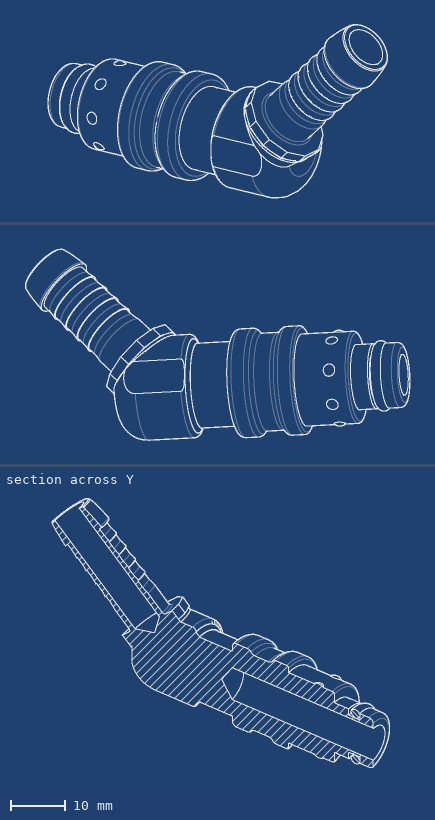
import cadquery as cq
import math

bore_dia = 7.5
drill_tip_angle = 118.0
plug_radius = 12.0 / 2
plug_edge = 0.9
groove_start = 3.0
groove_end = 5.4
groove_radius = 9.0 / 2
ring_section_dia = 2.0
sleeve_start = 8.6
sleeve_radius = 16.95 / 2
small_edge = 0.4
collar_start = 18.65
collar_radius = 20.0 / 2
collar_flat_end = 21.4
waist_start = 23.1
waist_end = 26.1
waist_radius = 18.0 / 2
second_flat_start = 27.8
collar_end = 31.1
collar_end_fillet = 1.0
shank_radius = 15.6 / 2
main_bore_depth = collar_end

ball_count = 8
ball_radius = 1.5
ball_station = 12.05
ball_center_radius = 7.45
ball_phase = 2.7

elbow_radius = 9.5
elbow_root_start = 38.25
elbow_root_radius = 7.9
elbow_start = 39.05
elbow_edge = 0.7
elbow_end = 53.3
elbow_end_fillet = 4.95
elbow_flat_half_width = 18.0 / 2
hose_angle = 45.0

seat_station = 5.5
flange_disc_end = 6.2
flange_end = 8.2
flange_across_flats = 15.6
flange_sides = 12
tail_root_fillet = 0.4
tail_radius = 10.5 / 2
valley_radius = 10.0 / 2
first_barb_station = 13.1
barb_taper = 1.5
barb_pitch = 3.0
barb_count = 5
head_radius = 5.75
head_land = 0.35
tip_radius = 10.0 / 2
tip_station = 33.15
tip_edge = 0.2
tip_slope = -0.25

overall_length = 70.85
tip_reach = (tip_station + tip_radius - tip_edge) * math.cos(math.radians(hose_angle))
pivot_x = overall_length - tip_reach


def revolve_about_x(profile):
    """Turn a closed X-Y profile around the X axis."""
    return profile.close().revolve(360, (0, 0, 0), (1, 0, 0))


def rounding_midpoint(center, radius, direction_degrees):
    """Middle point of a quarter-round arc."""
    angle = math.radians(direction_degrees)
    return (center[0] + radius * math.cos(angle), center[1] + radius * math.sin(angle))


def drilled_bore(depth):
    """Drill shape entering at X = 0 and running along +X, with a conical end."""
    radius = bore_dia / 2
    tip_length = radius / math.tan(math.radians(drill_tip_angle / 2))
    return revolve_about_x(
        cq.Workplane("XY").moveTo(0, 0).lineTo(0, radius).lineTo(depth, radius).lineTo(depth + tip_length, 0)
    )


def place_on_hose_axis(shape):
    """Tilt a shape built along +X so that it follows the hose axis."""
    return shape.rotate((0, 0, 0), (0, 1, 0), -hose_angle).translate((pivot_x, 0, 0))


def s_flank(profile, start, end):
    """Smooth flank of two equal tangent arcs, level at both ends."""
    middle = ((start[0] + end[0]) / 2, (start[1] + end[1]) / 2)
    profile = profile.tangentArcPoint(middle, relative=False)
    return profile.tangentArcPoint(end, relative=False)


def turned_front():
    """Plug, sleeve, two collars and shank as one turned shape."""
    profile = (
        cq.Workplane("XY")
        .moveTo(0, 0)
        .lineTo(0, plug_radius - plug_edge)
        .threePointArc(
            rounding_midpoint((plug_edge, plug_radius - plug_edge), plug_edge, 135), (plug_edge, plug_radius)
        )
        .lineTo(groove_start, plug_radius)
        .lineTo(groove_start, groove_radius)
        .lineTo(groove_end, groove_radius)
        .lineTo(groove_end, plug_radius)
        .lineTo(sleeve_start, plug_radius)
        .lineTo(sleeve_start, sleeve_radius - small_edge)
        .threePointArc(
            rounding_midpoint((sleeve_start + small_edge, sleeve_radius - small_edge), small_edge, 135),
            (sleeve_start + small_edge, sleeve_radius),
        )
        .lineTo(collar_start, sleeve_radius)
        .lineTo(collar_start, collar_radius - small_edge)
        .threePointArc(
            rounding_midpoint((collar_start + small_edge, collar_radius - small_edge), small_edge, 135),
            (collar_start + small_edge, collar_radius),
        )
        .lineTo(collar_flat_end, collar_radius)
    )
    profile = s_flank(profile, (collar_flat_end, collar_radius), (waist_start, waist_radius))
    profile = profile.lineTo(waist_end, waist_radius)
    profile = s_flank(profile, (waist_end, waist_radius), (second_flat_start, collar_radius))
    fillet_center = (collar_end - collar_end_fillet, collar_radius - collar_end_fillet)
    profile = (
        profile.lineTo(fillet_center[0], collar_radius)
        .threePointArc(rounding_midpoint(fillet_center, collar_end_fillet, 45), (collar_end, fillet_center[1]))
        .lineTo(collar_end, shank_radius)
        .lineTo(elbow_start, shank_radius)
        .lineTo(elbow_start, 0)
    )
    return revolve_about_x(profile)


def retaining_balls():
    """Balls standing proud of the sleeve, evenly spaced around it."""
    balls = []
    for index in range(ball_count):
        angle = ball_phase + index * 360 / ball_count
        ball = cq.Workplane("XY").sphere(ball_radius).translate((ball_station, -ball_center_radius, 0))
        balls.append(ball.rotate((0, 0, 0), (1, 0, 0), -angle))
    return balls


def elbow():
    """Rounded elbow block with two side flats and a sloping seat for the hose tail."""
    front_center = (elbow_start + elbow_edge, elbow_radius - elbow_edge)
    end_center = (elbow_end - elbow_end_fillet, elbow_radius - elbow_end_fillet)
    profile = (
        cq.Workplane("XY")
        .moveTo(elbow_root_start, 0)
        .lineTo(elbow_root_start, elbow_root_radius)
        .lineTo(elbow_start, elbow_root_radius + elbow_start - elbow_root_start)
        .lineTo(elbow_start, front_center[1])
        .threePointArc(rounding_midpoint(front_center, elbow_edge, 135), (front_center[0], elbow_radius))
        .lineTo(end_center[0], elbow_radius)
        .threePointArc(rounding_midpoint(end_center, elbow_end_fillet, 45), (elbow_end, end_center[1]))
        .lineTo(elbow_end, 0)
    )
    between_flats = cq.Workplane("XY").box(2 * elbow_end, 2 * elbow_flat_half_width, 2 * elbow_end)
    block_size = 4 * elbow_radius
    above_seat = cq.Workplane("XY").box(block_size, block_size, block_size)
    above_seat = above_seat.translate((seat_station + block_size / 2, 0, 0))
    return revolve_about_x(profile).intersect(between_flats).cut(place_on_hose_axis(above_seat))


def hose_flange():
    """Round seat disc under a twelve-sided flange with a flat facing each side."""
    disc = cq.Workplane("YZ").workplane(offset=seat_station).circle(flange_across_flats / 2)
    disc = disc.extrude(flange_disc_end - seat_station)
    corner_diameter = flange_across_flats / math.cos(math.pi / flange_sides)
    prism = cq.Workplane("YZ").workplane(offset=flange_disc_end).polygon(flange_sides, corner_diameter)
    prism = prism.extrude(flange_end - flange_disc_end)
    prism = prism.rotate((0, 0, 0), (1, 0, 0), 180 / flange_sides)
    return disc.union(prism)


def barbed_tail():
    """Hose tail with repeated barbs and a larger rounded head."""
    root_center = (flange_end + tail_root_fillet, tail_radius + tail_root_fillet)
    profile = (
        cq.Workplane("XY")
        .moveTo(flange_end, 0)
        .lineTo(flange_end, root_center[1])
        .threePointArc(rounding_midpoint(root_center, tail_root_fillet, 225), (root_center[0], tail_radius))
    )
    for index in range(barb_count):
        station = first_barb_station + index * barb_pitch
        profile = (
            profile.lineTo(station, tail_radius)
            .lineTo(station + barb_taper, valley_radius)
            .lineTo(station + barb_pitch, valley_radius)
        )
    head_start = first_barb_station + barb_count * barb_pitch
    profile = (
        profile.lineTo(head_start, head_radius)
        .lineTo(head_start + head_land, head_radius)
        .spline([(tip_station - tip_edge, tip_radius)], tangents=[(1, 0), (1, tip_slope)], includeCurrent=True)
        .lineTo(tip_station, tip_radius - tip_edge)
        .lineTo(tip_station, 0)
    )
    return revolve_about_x(profile)


def coupling_body():
    """Complete elbow coupling with its two blind bores."""
    body = turned_front().union(elbow())
    for ball in retaining_balls():
        body = body.union(ball)
    tail = hose_flange().union(barbed_tail())
    body = body.union(place_on_hose_axis(tail))
    tail_bore = drilled_bore(tip_station - flange_end)
    tail_bore = tail_bore.rotate((0, 0, 0), (0, 1, 0), 180).translate((tip_station, 0, 0))
    return body.cut(drilled_bore(main_bore_depth)).cut(place_on_hose_axis(tail_bore))


def seal_ring():
    """O-ring resting on the floor of the plug groove."""
    section_radius = ring_section_dia / 2
    center = (groove_start + section_radius, groove_radius + section_radius)
    section = cq.Workplane("XY").center(*center).circle(section_radius)
    return section.revolve(360, (0, -center[1], 0), (1, -center[1], 0))


body = coupling_body()
o_ring = seal_ring()
result = cq.Compound.makeCompound([body.val(), o_ring.val()])